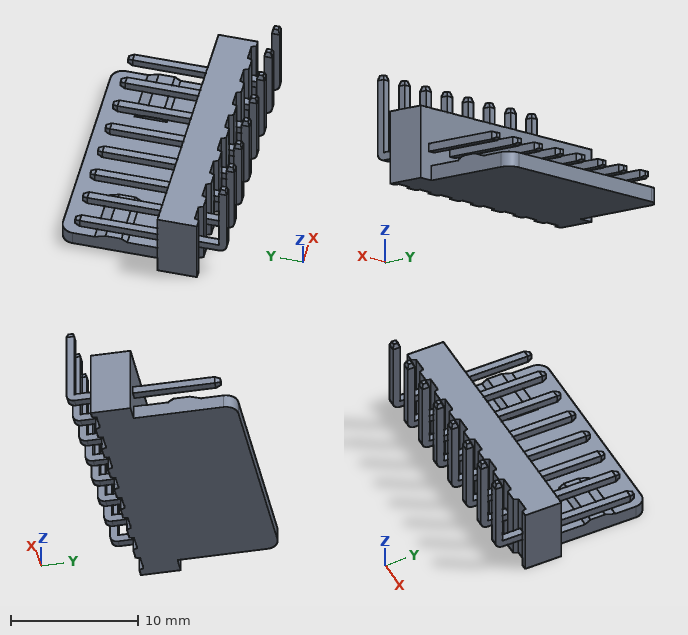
import cadquery as cq


body_length = 20.48
body_depth = 3.2
body_height = 5.84

groove_depth = 0.37
groove_mouth_width = 1.55
groove_floor_width = 1.23

tab_width = 17.92
tab_length = 8.2
tab_thickness = 1.19
tab_corner_radius = 1.0

latch_width = 4.6
latch_height = 0.3
latch_ramp_start = 2.8
latch_crest_start = 3.69
latch_crest_end = 4.98
latch_ramp_end = 5.45

pin_count = 8
pin_pitch = 2.54
pin_row_offset = 0.08
pin_size = 0.63
pin_axis_height = 2.6
pin_top = 9.2
pin_front_reach = 2.13
pin_back_reach = 6.96
pin_bend_radius = pin_size
tip_length = 0.4
tip_size = 0.37

body_front = -body_depth / 2
body_back = body_depth / 2
tab_end = body_back + tab_length
pin_front = body_front - pin_front_reach
pin_back = body_back + pin_back_reach

first_pin_x = pin_row_offset - pin_pitch * (pin_count - 1) / 2
pin_positions = [first_pin_x + i * pin_pitch for i in range(pin_count)]


def make_groove(x):
    """Trapezoidal groove cutter, widest at the front face, over the full height."""
    floor_y = body_front + groove_depth
    return (
        cq.Workplane("XY")
        .moveTo(x - groove_mouth_width / 2, body_front)
        .lineTo(x + groove_mouth_width / 2, body_front)
        .lineTo(x + groove_floor_width / 2, floor_y)
        .lineTo(x - groove_floor_width / 2, floor_y)
        .close()
        .extrude(body_height)
    )


def make_housing():
    """Rectangular block with a groove at each pin."""
    housing = cq.Workplane("XY").box(
        body_length, body_depth, body_height, centered=(True, True, False)
    )
    for x in pin_positions:
        housing = housing.cut(make_groove(x))
    return housing


def make_latch(x_start):
    """Ramped latch on top of the tab, running along +X from x_start."""
    crest_height = tab_thickness + latch_height
    return (
        cq.Workplane("YZ", origin=(x_start, 0, 0))
        .moveTo(tab_end - latch_ramp_start, tab_thickness)
        .lineTo(tab_end - latch_crest_start, crest_height)
        .lineTo(tab_end - latch_crest_end, crest_height)
        .lineTo(tab_end - latch_ramp_end, tab_thickness)
        .close()
        .extrude(latch_width)
    )


def make_tab():
    """Flat tab behind the housing, with rounded free corners and a latch at each side."""
    tab = (
        cq.Workplane("XY", origin=(0, body_back, 0))
        .box(tab_width, tab_length, tab_thickness, centered=(True, False, False))
        .edges("|Z and >Y")
        .fillet(tab_corner_radius)
    )
    left_latch = make_latch(-tab_width / 2)
    right_latch = make_latch(tab_width / 2 - latch_width)
    return tab.union(left_latch).union(right_latch)


def taper_tip(end_face):
    """Pyramid frustum that narrows the pin outward from its end face."""
    return (
        end_face.rect(pin_size, pin_size)
        .workplane(offset=tip_length)
        .rect(tip_size, tip_size)
        .loft(ruled=True)
    )


def make_pin(x):
    """L-shaped square pin, rounded outside the bend and tapered at both tips."""
    leg_y = pin_front + pin_size / 2
    bottom = pin_axis_height - pin_size / 2
    leg_height = pin_top - tip_length - bottom
    arm_length = pin_back - tip_length - pin_front
    leg = cq.Workplane("XY", origin=(x, leg_y, bottom)).box(
        pin_size, pin_size, leg_height, centered=(True, True, False)
    )
    arm = cq.Workplane("XY", origin=(x, pin_front, pin_axis_height)).box(
        pin_size, arm_length, pin_size, centered=(True, False, True)
    )
    bent_pin = leg.union(arm).edges("|X and <Y and <Z").fillet(pin_bend_radius)
    leg_tip = taper_tip(cq.Workplane("XY", origin=(x, leg_y, pin_top - tip_length)))
    arm_end = cq.Plane(
        origin=(x, pin_back - tip_length, pin_axis_height), xDir=(1, 0, 0), normal=(0, 1, 0)
    )
    arm_tip = taper_tip(cq.Workplane(arm_end))
    return bent_pin.union(leg_tip).union(arm_tip)


result = make_housing().union(make_tab())
for pin_x in pin_positions:
    result = result.union(make_pin(pin_x))